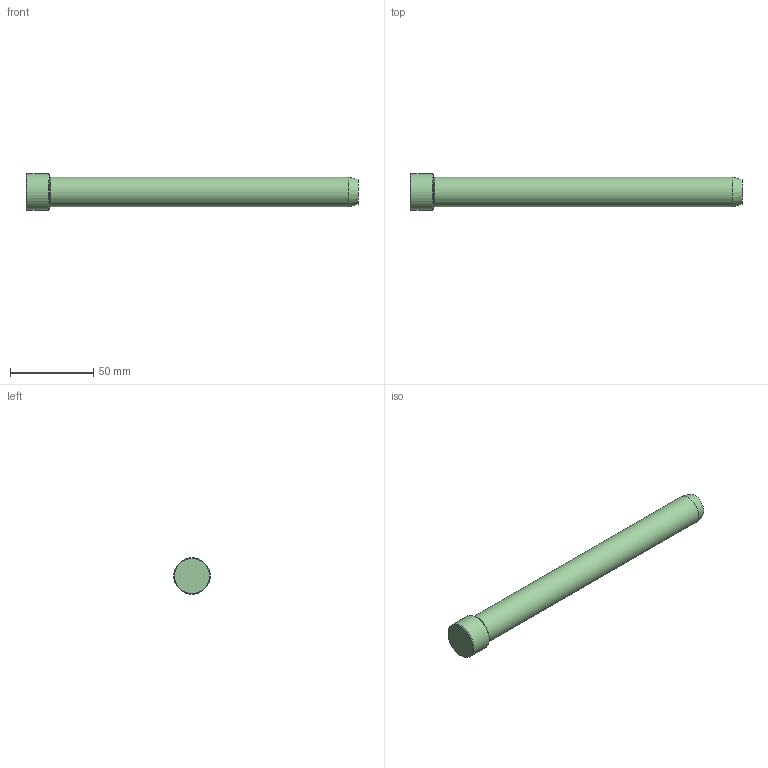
import cadquery as cq
import math

total_length = 200.0
head_diameter = 22.0
head_length = 14.0
head_chamfer = 0.5
shaft_diameter = 18.0

groove_width = 0.5
groove_depth = 0.3
groove_taper_length = 0.5

tip_length = 6.0
tip_end_diameter = 14.8
tip_arc_radius = 40.0

head_radius = head_diameter / 2
shaft_radius = shaft_diameter / 2
tip_end_radius = tip_end_diameter / 2


def tip_arc_middle(start, end):
    """Midpoint of the convex lead-in arc joining two profile points."""
    chord_x = end[0] - start[0]
    chord_r = end[1] - start[1]
    chord = math.hypot(chord_x, chord_r)
    bulge = tip_arc_radius - math.sqrt(tip_arc_radius**2 - (chord / 2) ** 2)
    return (
        (start[0] + end[0]) / 2 - bulge * chord_r / chord,
        (start[1] + end[1]) / 2 + bulge * chord_x / chord,
    )


def make_pin():
    """Revolve the half profile of head, groove, shaft and rounded tip about X."""
    groove_radius = shaft_radius - groove_depth
    groove_end = head_length + groove_width
    tip_start = (total_length - tip_length, shaft_radius)
    tip_end = (total_length, tip_end_radius)
    profile = (
        cq.Workplane("XZ")
        .lineTo(0, head_radius - head_chamfer)
        .lineTo(head_chamfer, head_radius)
        .lineTo(head_length - head_chamfer, head_radius)
        .lineTo(head_length, head_radius - head_chamfer)
        .lineTo(head_length, groove_radius)
        .lineTo(groove_end, groove_radius)
        .lineTo(groove_end + groove_taper_length, shaft_radius)
        .lineTo(*tip_start)
        .threePointArc(tip_arc_middle(tip_start, tip_end), tip_end)
        .lineTo(total_length, 0)
        .close()
    )
    return profile.revolve(360, (0, 0, 0), (1, 0, 0))


result = make_pin()